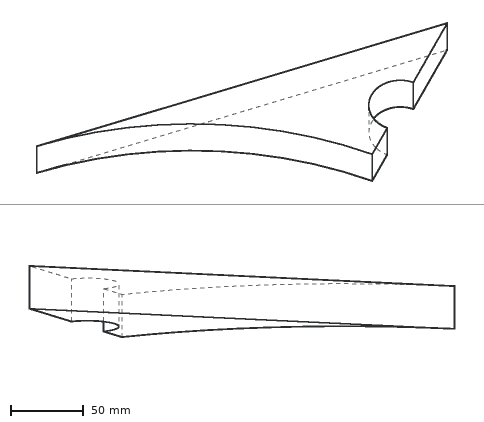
import cadquery as cq

length_x = 213.02
length_y = 214.09
thickness = 30.0

right_edge_bottom = 88.6
arc_radius = 303.0

notch_radius = 21.7
notch_center_y = 135.5

tip = (0.0, 0.0)
top_corner = (length_x, length_y)
bottom_corner = (length_x, right_edge_bottom)


def make_plate():
    """Triangular plate whose lower edge curves inwards."""
    return (
        cq.Workplane("XY")
        .moveTo(*tip)
        .radiusArc(bottom_corner, arc_radius)
        .lineTo(*top_corner)
        .close()
        .extrude(thickness)
    )


def make_notch():
    """Upright cylinder centred on the right edge."""
    return cq.Workplane("XY").center(length_x, notch_center_y).circle(notch_radius).extrude(thickness)


result = make_plate().cut(make_notch())